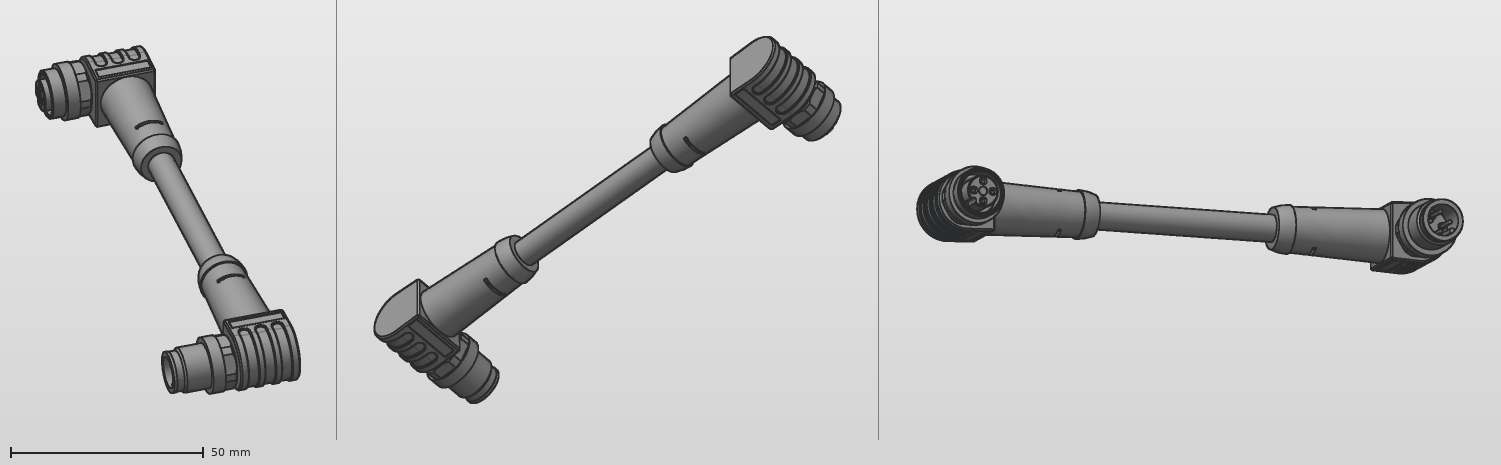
import cadquery as cq
import math


overall_length = 141.0
head_height = 15.9
head_radius = head_height / 2
head_axis_x = overall_length / 2 - head_radius
head_back_y = 7.9
head_front_y = -8.3
plug_tip_y = -25.7
socket_tip_y = -21.0

cable_diameter = 7.2
grip_tip_x = 24.7
grip_shoulder_x = 29.0
grip_tip_diameter = 11.0
shoulder_diameter = 12.8
grip_small_diameter = 12.0
grip_large_diameter = 14.1
grip_slot_x = 35.1
grip_slot_width = 0.8
grip_slot_floor_z = 5.1

head_edge_chamfer = 0.4
head_cable_half_height = 7.6
finger_groove_width = 3.1
finger_groove_depth = 0.4
finger_groove_pitch = 4.5
finger_groove_bevel = 0.3
finger_groove_reach = 2.5
label_offset = 5.1
label_width = 3.1
label_length = 14.2
label_y = 0.0
label_depth = 0.3

neck_diameter = 9.3
nut_back_y = -9.0
hex_front_y = -12.3
collar_front_y = -15.6
hex_sides = 6
hex_across_flats = 13.4
hex_corner_diameter = 14.4
hex_chamfer = 0.4
collar_diameter = 15.0

sleeve_diameter = 12.8
sleeve_front_y = -19.6
sleeve_bore_diameter = 10.9
sleeve_bore_back_y = -15.0
sleeve_chamfer = 0.3
insert_diameter = 8.3
insert_chamfer = 0.3
seal_section_radius = (sleeve_bore_diameter - insert_diameter) / 4
contact_hole_diameter = 1.15
contact_hole_mouth = 2.0
contact_mouth_angle = 90
contact_hole_depth = 5.6
centre_recess_diameter = 2.3
centre_recess_depth = 0.3

thread_diameter = 12.0
thread_front_y = -22.8
thread_chamfer = 0.5
undercut_diameter = 10.7
lip_diameter = 11.0
lip_width = 0.8
plug_bore_diameter = 8.3
plug_bore_depth = 8.5
pin_diameter = 1.0
pin_tip_fillet = 0.4
pin_recess = 1.4
key_recess = 0.4
pin_collar_diameter = 1.8
pin_collar_height = 0.4

contact_circle_diameter = 5.2
contact_count = 4
key_width = 1.5
key_depth = 1.1
key_overlap = 0.5
socket_key_angle = 225
plug_key_angle = 180 - socket_key_angle

EMBED = 0.7


def cylinder_y(x, diameter, y_back, y_front):
    """Cylinder along Y between two Y positions."""
    return cq.Workplane("XZ", origin=(x, y_back, 0)).circle(diameter / 2).extrude(y_back - y_front)


def contact_points():
    """Contact centres on the pitch circle, as (x, z) offsets."""
    step = 360 / contact_count
    angles = [math.radians(step * i) for i in range(contact_count)]
    radius = contact_circle_diameter / 2
    return [(radius * math.cos(a), radius * math.sin(a)) for a in angles]


def key_bar(x, angle, y_back, y_front):
    """Round-nosed bar along Y that reaches key_depth inward from the insert or bore wall."""
    middle_radius = plug_bore_diameter / 2 + (key_overlap - key_depth) / 2
    bar = (
        cq.Workplane("XZ", origin=(0, y_back, 0))
        .center(middle_radius, 0)
        .slot2D(key_depth + key_overlap, key_width)
        .extrude(y_back - y_front)
    )
    return bar.rotate((0, 0, 0), (0, -1, 0), angle).translate((x, 0, 0))


def head_block(inset):
    """Head at the left end: a half-round on its outer side, slightly tapered flats toward the cable."""
    radius = head_radius - inset
    end_half = head_cable_half_height - inset
    return (
        cq.Workplane("XZ", origin=(-head_axis_x, head_back_y, 0))
        .moveTo(0, radius)
        .threePointArc((-radius, 0), (0, -radius))
        .lineTo(head_radius, -end_half)
        .lineTo(head_radius, end_half)
        .close()
        .extrude(head_back_y - head_front_y)
    )


def head():
    """Head with bevelled edges, three finger grooves wrapped round it and a label recess top and bottom."""
    body = head_block(0).edges("|Y and >X").chamfer(head_edge_chamfer)
    body = body.faces("<Y or >Y").chamfer(head_edge_chamfer)
    core = head_block(finger_groove_depth)
    middle_y = (head_back_y + head_front_y) / 2
    floor_region = cq.selectors.BoxSelector(
        (-head_axis_x - head_radius, head_back_y, -head_radius + finger_groove_depth / 2),
        (-head_axis_x + head_radius, head_front_y, head_radius - finger_groove_depth / 2),
    )
    reach = head_radius + finger_groove_reach
    for i in (-1, 0, 1):
        groove = (
            cq.Workplane("XY", origin=(-head_axis_x - head_radius, middle_y + i * finger_groove_pitch, 0))
            .slot2D(2 * reach, finger_groove_width)
            .extrude(head_radius, both=True)
            .cut(core)
            .edges(floor_region)
            .chamfer(finger_groove_bevel)
        )
        body = body.cut(groove)
    label_x = -head_axis_x + label_offset
    label_floor = head_block(label_depth)
    label = (
        cq.Workplane("XY", origin=(label_x, label_y, 0))
        .rect(label_width, label_length)
        .extrude(head_radius, both=True)
        .cut(label_floor)
    )
    return body.cut(label)


def grip():
    """Tapered strain relief with a domed shoulder at the cable end, and two bend slots."""
    head_face_x = -head_axis_x + head_radius
    taper_rate = (grip_large_diameter - grip_small_diameter) / 2 / (-grip_shoulder_x - head_face_x)
    dome_length = grip_shoulder_x - grip_tip_x
    dome_drop = (shoulder_diameter - grip_tip_diameter) / 2
    dome_middle = (-grip_shoulder_x + dome_length / 2, shoulder_diameter / 2 - dome_drop / 4)
    body = (
        cq.Workplane("XY")
        .moveTo(head_face_x - EMBED, 0)
        .lineTo(head_face_x - EMBED, grip_large_diameter / 2 + EMBED * taper_rate)
        .lineTo(-grip_shoulder_x, grip_small_diameter / 2)
        .lineTo(-grip_shoulder_x, shoulder_diameter / 2)
        .threePointArc(dome_middle, (-grip_tip_x, grip_tip_diameter / 2))
        .lineTo(-grip_tip_x, 0)
        .close()
        .revolve(360, (0, 0, 0), (1, 0, 0))
    )
    slot_height = grip_large_diameter / 2 - grip_slot_floor_z
    for side in (-1, 1):
        slot = cq.Workplane("XY").box(grip_slot_width, grip_large_diameter, slot_height)
        slot_z = side * (grip_slot_floor_z + slot_height / 2)
        body = body.cut(slot.translate((-grip_slot_x, 0, slot_z)))
    return body


def coupling_nut(x):
    """Neck, hexagon with rounded-off corners and round collar."""
    neck = cylinder_y(x, neck_diameter, head_front_y + EMBED, hex_front_y)
    corner_to_corner = hex_across_flats / math.cos(math.pi / hex_sides)
    hexagon = (
        cq.Workplane("XZ", origin=(x, nut_back_y, 0))
        .polygon(hex_sides, corner_to_corner)
        .extrude(nut_back_y - hex_front_y)
    )
    corner_trim = cylinder_y(x, hex_corner_diameter, nut_back_y, hex_front_y)
    corner_trim = corner_trim.faces(">Y").chamfer(hex_chamfer)
    collar = cylinder_y(x, collar_diameter, hex_front_y, collar_front_y)
    return neck.union(hexagon.intersect(corner_trim)).union(collar)


def socket_connector(x):
    """Nut with an open sleeve, contact insert, seal ring, contact holes and coding groove."""
    sleeve = cylinder_y(x, sleeve_diameter, collar_front_y, sleeve_front_y)
    sleeve = sleeve.faces("<Y or >Y").chamfer(sleeve_chamfer)
    body = coupling_nut(x).union(sleeve)

    bore = cylinder_y(x, sleeve_bore_diameter, sleeve_bore_back_y, sleeve_front_y)
    bore_mouth = (
        cq.Workplane("XZ", origin=(x, sleeve_front_y, 0))
        .circle(sleeve_bore_diameter / 2 + sleeve_chamfer)
        .workplane(offset=-sleeve_chamfer)
        .circle(sleeve_bore_diameter / 2)
        .loft()
    )
    body = body.cut(bore).cut(bore_mouth)

    insert = cylinder_y(x, insert_diameter, sleeve_bore_back_y + EMBED, socket_tip_y)
    insert = insert.faces("<Y").chamfer(insert_chamfer)
    seal_circle_radius = (sleeve_bore_diameter + insert_diameter) / 4
    seal = cq.Workplane(
        cq.Solid.makeTorus(
            seal_circle_radius,
            seal_section_radius,
            cq.Vector(x, sleeve_bore_back_y, 0),
            cq.Vector(0, 1, 0),
        )
    )
    body = body.union(insert).union(seal)

    body = body.cut(key_bar(x, socket_key_angle, sleeve_bore_back_y, socket_tip_y))
    body = body.cut(cylinder_y(x, centre_recess_diameter, socket_tip_y + centre_recess_depth, socket_tip_y))
    return (
        body.faces("<Y")
        .workplane(origin=(x, socket_tip_y, 0))
        .pushPoints(contact_points())
        .cskHole(contact_hole_diameter, contact_hole_mouth, contact_mouth_angle, contact_hole_depth)
    )


def plug_connector(x):
    """Nut with a hollow threaded shell, contact pins and coding key."""
    thread = cylinder_y(x, thread_diameter, collar_front_y, thread_front_y)
    thread = thread.faces("<Y").chamfer(thread_chamfer)
    lip_back_y = plug_tip_y + lip_width
    undercut = cylinder_y(x, undercut_diameter, thread_front_y, lip_back_y)
    lip = cylinder_y(x, lip_diameter, lip_back_y, plug_tip_y)
    body = coupling_nut(x).union(thread).union(undercut).union(lip)

    floor_y = plug_tip_y + plug_bore_depth
    pin_tip_y = plug_tip_y + pin_recess
    body = body.cut(cylinder_y(x, plug_bore_diameter, floor_y, plug_tip_y))
    body = body.union(key_bar(x, plug_key_angle, floor_y + EMBED, plug_tip_y + key_recess))
    for dx, dz in contact_points():
        pin = cylinder_y(x + dx, pin_diameter, floor_y + EMBED, pin_tip_y)
        pin = pin.faces("<Y").fillet(pin_tip_fillet)
        pin_collar = cylinder_y(x + dx, pin_collar_diameter, floor_y, floor_y - pin_collar_height)
        body = body.union(pin.union(pin_collar).translate((0, 0, dz)))
    return body


cable = (
    cq.Workplane("YZ", origin=(-grip_tip_x - EMBED, 0, 0))
    .circle(cable_diameter / 2)
    .extrude(2 * (grip_tip_x + EMBED))
)
left_end = head().union(grip())
right_end = left_end.mirror("YZ")

result = (
    cable.union(left_end)
    .union(right_end)
    .union(socket_connector(-head_axis_x))
    .union(plug_connector(head_axis_x))
)